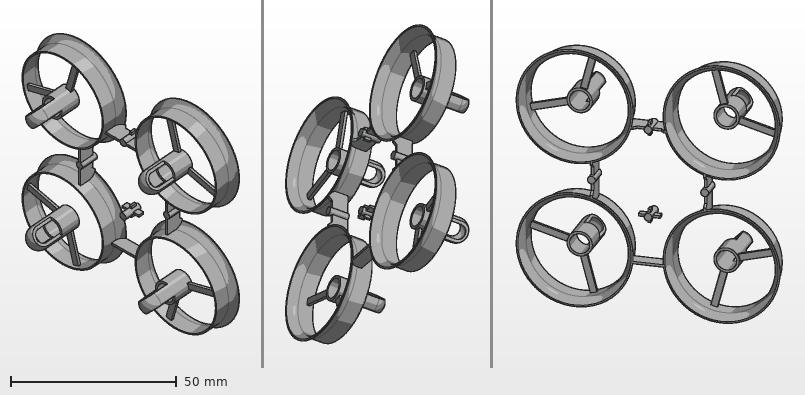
import cadquery as cq
import math


ring_spacing_x = 46.2
ring_spacing_z = 46.5
ring_outer_radius = 16.65
ring_wall = 0.5
ring_depth = 8.3
flare_radius = 3.0
lip_radius = 18.4

ring_bore_radius = ring_outer_radius - ring_wall
flare_inner_radius = flare_radius + ring_wall
flare_center_radius = ring_outer_radius + flare_radius

holder_radius = 4.0
holder_bore_radius = 3.2
holder_rear_depth = 5.25
strap_start_depth = 13.0
holder_front_depth = 23.1
strap_width = 4.25
dome_start_depth = holder_front_depth - holder_radius

spoke_width = 2.2
spoke_thickness = 1.0
spoke_front_depth = 7.0
outward_angle = 45
spoke_spread = 60

strut_thickness = 0.8
strut_front_depth = 6.7
lower_strut_front_depth = 4.6
upper_strut_z = 18.3
lower_strut_z = -25.2
side_strut_x = 17.8
notch_depth = 1.2
notch_half_length = 3.8

pin_radius = 1.25
peg_width = 0.8
peg_reach = 2.2
peg_start_depth = 1.2
peg_end_depth = 3.3
loose_peg_reach = 3.4
loose_pin_z = -10.0


def on_depth(depth):
    """Workplane parallel to XZ at the given depth; extrusions run towards -Y."""
    return cq.Workplane("XZ", origin=(0, -depth, 0))


def on_flare(radius, angle):
    """Point (radius from the ring axis, Y) on an arc about the flare centre."""
    rise = math.radians(angle)
    return (flare_center_radius - radius * math.cos(rise), -flare_radius + radius * math.sin(rise))


def angle_at_radius(arc_radius, ring_radius):
    """Angle at which a flare arc reaches the given radius from the ring axis."""
    return math.degrees(math.acos((flare_center_radius - ring_radius) / arc_radius))


def ring():
    """Thin cylindrical wall that flares outwards to a lip at the rear."""
    outer_end = angle_at_radius(flare_radius, lip_radius)
    inner_end = math.degrees(math.asin(flare_radius / flare_inner_radius))
    return (
        cq.Workplane("XY")
        .moveTo(ring_bore_radius, -ring_depth)
        .lineTo(ring_outer_radius, -ring_depth)
        .lineTo(ring_outer_radius, -flare_radius)
        .threePointArc(on_flare(flare_radius, outer_end / 2), on_flare(flare_radius, outer_end))
        .lineTo(lip_radius, 0)
        .lineTo(*on_flare(flare_inner_radius, inner_end))
        .threePointArc(on_flare(flare_inner_radius, inner_end / 2), (ring_bore_radius, -flare_radius))
        .close()
        .revolve(360, (0, 0, 0), (0, 1, 0))
    )


def ring_core():
    """The space enclosed by the middle of a ring's wall, flare included."""
    core_radius = ring_outer_radius - ring_wall / 2
    arc_radius = flare_radius + ring_wall / 2
    arc_end = math.degrees(math.asin(flare_radius / arc_radius))
    return (
        cq.Workplane("XY")
        .moveTo(0, -ring_depth)
        .lineTo(core_radius, -ring_depth)
        .lineTo(core_radius, -flare_radius)
        .threePointArc(on_flare(arc_radius, arc_end / 2), on_flare(arc_radius, arc_end))
        .lineTo(0, 0)
        .close()
        .revolve(360, (0, 0, 0), (0, 1, 0))
    )


def round_ended_rod(radius):
    """Rod from the rear of the holder to the dome, ending in a half ball."""
    rod = on_depth(holder_rear_depth).circle(radius).extrude(dome_start_depth - holder_rear_depth)
    return rod.union(cq.Workplane("XY").sphere(radius).translate((0, -dome_start_depth, 0)))


def spokes():
    length = ring_outer_radius - ring_wall / 2
    bar = (
        on_depth(spoke_front_depth - spoke_thickness)
        .center(length / 2, 0)
        .rect(length, spoke_width)
        .extrude(spoke_thickness)
    )
    pair = cq.Workplane("XY")
    for side in (-1, 1):
        angle = outward_angle + side * spoke_spread
        pair = pair.union(bar.rotate((0, 0, 0), (0, -1, 0), angle))
    return pair


def strap_cutters():
    """Blocks beside the strap that open both flanks of the holder's front part."""
    block_width = holder_radius
    block_height = 3 * holder_radius
    blocks = cq.Workplane("XY")
    for side in (-1, 1):
        blocks = blocks.union(
            on_depth(strap_start_depth)
            .center(side * (strap_width + block_width) / 2, 0)
            .rect(block_width, block_height)
            .extrude(holder_front_depth - strap_start_depth)
        )
    return blocks.rotate((0, 0, 0), (0, -1, 0), outward_angle)


def duct():
    """Upper right duct about its own axis: ring, spokes and motor holder."""
    body = ring().union(spokes()).union(round_ended_rod(holder_radius))
    return body.cut(round_ended_rod(holder_bore_radius)).cut(strap_cutters())


def at_each_duct(shape):
    """Copies of an upper right shape, mirrored into the four corners."""
    right_top = shape.translate((ring_spacing_x / 2, 0, ring_spacing_z / 2))
    left_top = right_top.mirror("YZ")
    return [right_top, left_top, right_top.mirror("XY"), left_top.mirror("XY")]


def plain_strut(spacing, front_depth):
    """Bar along X that joins two ring axes, centred on the origin."""
    return on_depth(0).rect(spacing, strut_thickness).extrude(front_depth)


def notched_strut(spacing):
    """Bar with a rear notch whose ends slope at 45 degrees."""
    rear_half_length = notch_half_length + notch_depth
    notch = (
        cq.Workplane("XY")
        .polyline([
            (-rear_half_length, 0),
            (-notch_half_length, -notch_depth),
            (notch_half_length, -notch_depth),
            (rear_half_length, 0),
        ])
        .close()
        .extrude(strut_thickness, both=True)
    )
    return plain_strut(spacing, strut_front_depth).cut(notch)


def pin():
    return on_depth(0).circle(pin_radius).extrude(strut_front_depth)


def pegs(reach_x, reach_z):
    """Bar through a pin that stands out on two opposite sides."""
    return on_depth(peg_start_depth).rect(2 * reach_x, 2 * reach_z).extrude(peg_end_depth - peg_start_depth)


def pegged_pin():
    return pin().union(pegs(peg_width / 2, peg_reach))


def struts():
    """All four struts, trimmed to end inside the walls of the rings."""
    upper = notched_strut(ring_spacing_x).translate((0, 0, upper_strut_z))
    lower = plain_strut(ring_spacing_x, lower_strut_front_depth).translate((0, 0, lower_strut_z))
    bars = upper.union(lower)
    side_strut = notched_strut(ring_spacing_z).rotate((0, 0, 0), (0, 1, 0), 90)
    for side in (-1, 1):
        bars = bars.union(side_strut.translate((side * side_strut_x, 0, 0)))
    for core in at_each_duct(ring_core()):
        bars = bars.cut(core)
    return bars


def make_frame():
    frame = struts()
    for corner in at_each_duct(duct()):
        frame = frame.union(corner)
    frame = frame.union(pegged_pin().translate((0, 0, upper_strut_z)))
    for side in (-1, 1):
        frame = frame.union(pin().translate((side * side_strut_x, 0, 0)))
    return frame


def make_loose_pin():
    """Separate pin with a cross of four pegs."""
    cross = pegged_pin().union(pegs(loose_peg_reach, peg_width / 2))
    return cross.translate((0, 0, loose_pin_z))


frame = make_frame()
loose_pin = make_loose_pin()
result = cq.Compound.makeCompound([frame.solids().val(), loose_pin.solids().val()])